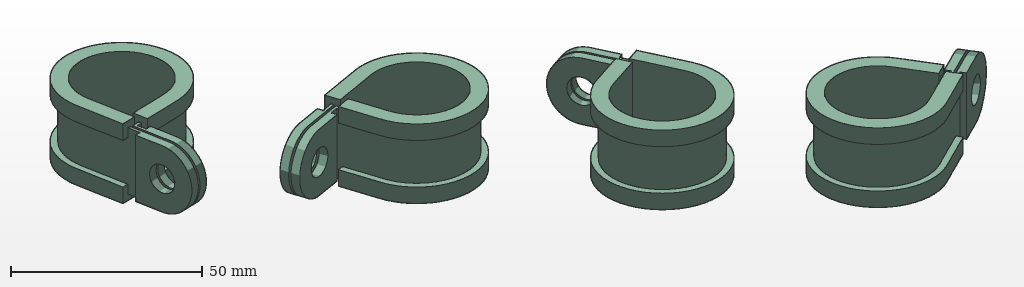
import cadquery as cq

overall_length = 57.3

inner_radius = 14.0
outer_radius = 18.8
cushion_height = 24.0
lip_depth = 2.0
lip_height = 5.0
lower_leg_length = 15.5
side_leg_length = 12.6

strap_outer = outer_radius - lip_depth
strap_thickness = 0.9
strap_inner = strap_outer - strap_thickness
strap_height = 20.0
bend_radius = 0.35

ear_radius = strap_height / 2
ear_start_x = 19.6
ear_tip_x = overall_length - outer_radius
hole_x = ear_tip_x - ear_radius
ear_thickness = 2.7
ear_gap = 0.7
hole_diameter = 8.4
lower_ear_top = -strap_inner
upper_ear_bottom = lower_ear_top + ear_gap


def box_between(x_min, x_max, y_min, y_max, height):
    """Block centred on Z = 0."""
    block = cq.Workplane("XY").box(x_max - x_min, y_max - y_min, height)
    return block.translate(((x_min + x_max) / 2, (y_min + y_max) / 2, 0))


def loop_band(inner, outer, height):
    """Three-quarter ring with a leg along +X below and a leg along -Y at the side."""
    ring = cq.Workplane("XY", origin=(0, 0, -height / 2)).circle(outer).circle(inner).extrude(height)
    ring = ring.cut(box_between(0, outer, -outer, 0, height))
    lower_leg = box_between(0, lower_leg_length, -outer, -inner, height)
    side_leg = box_between(inner, outer, -side_leg_length, 0, height)
    return ring.union(lower_leg).union(side_leg)


def make_cushion():
    """Full-height loop with an outer channel left between two lips."""
    channel_height = cushion_height - 2 * lip_height
    body = loop_band(inner_radius, outer_radius, cushion_height)
    return body.cut(loop_band(strap_outer, outer_radius, channel_height))


def make_ear(y_bottom):
    """Ear with a rounded end; its thickness starts at y_bottom."""
    return (
        cq.Workplane("XZ", origin=(0, y_bottom, 0))
        .moveTo(ear_start_x, -ear_radius)
        .lineTo(hole_x, -ear_radius)
        .threePointArc((ear_tip_x, 0), (hole_x, ear_radius))
        .lineTo(ear_start_x, ear_radius)
        .close()
        .extrude(-ear_thickness)
    )


def make_lower_tab():
    """Strap end that continues straight from the lower leg."""
    return box_between(lower_leg_length, ear_start_x, -strap_outer, -strap_inner, strap_height)


def make_side_tab():
    """Strap end that leaves the side leg and bends towards +X."""
    bend_top = upper_ear_bottom + strap_thickness
    upright = box_between(strap_inner, strap_outer, upper_ear_bottom, -side_leg_length, strap_height)
    foot = box_between(strap_inner, ear_start_x, upper_ear_bottom, bend_top, strap_height)
    return upright.union(foot).edges("|Z and <X and <Y").fillet(bend_radius)


result = make_cushion().union(make_lower_tab()).union(make_side_tab())
for ear_bottom in (lower_ear_top - ear_thickness, upper_ear_bottom):
    result = result.union(make_ear(ear_bottom))

bolt_hole = (
    cq.Workplane("XZ", origin=(hole_x, 0, 0))
    .circle(hole_diameter / 2)
    .extrude(outer_radius)
)
result = result.cut(bolt_hole).clean()